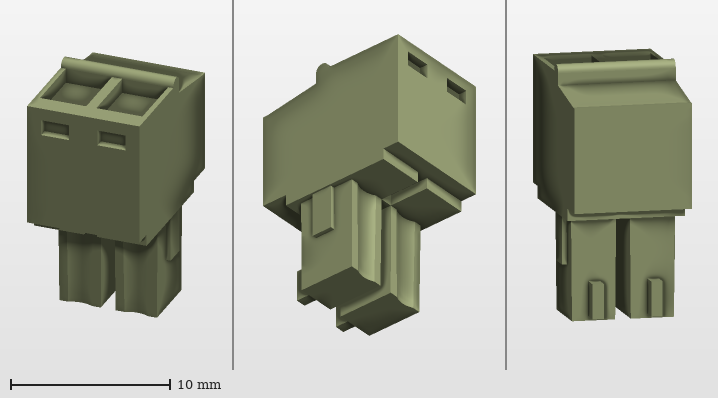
import cadquery as cq
import math

width = 7.62
depth = 11.1
height = 16.1
pole_pitch = width / 2
pole_centres = [-pole_pitch / 2, pole_pitch / 2]

bead_radius = 0.5
bead_front_y = 5.73
bead_back_y = bead_front_y + 2 * bead_radius
top_z = height - bead_radius
slope_top_z = 14.81
shelf_z = 14.15
shelf_depth = 0.37
block_bottom_z = 7.39
foot_bottom_z = 6.6
foot_front_y = 1.2
foot_back_inset = 1.87
foot_back_y = depth - foot_back_inset

pocket_width = 3.12
pocket_front_y = 1.35
pocket_depth = 1.0
window_width = 1.9
window_height = 1.05
window_bottom_z = 13.73
window_depth = 0.6

plug_width = 2.91
plug_front_y = 4.17
plug_back_y = 8.34
plug_draft = 0.5
flute_radius = 1.7
flute_depth = 0.25
key_width = 1.51
key_front_y = 5.64
key_height = 0.3
key_bottom_z = 3.43
latch_width = 0.72
latch_length = 1.25
latch_bottom_z = 0.3
latch_top_z = 2.55


def box(x_centre, x_size, y_start, y_end, z_start, z_end):
    """Block centred on x_centre and spanning the given Y and Z ranges."""
    block = cq.Workplane("XY").box(x_size, y_end - y_start, z_end - z_start, centered=(True, False, False))
    return block.translate((x_centre, y_start, z_start))


def make_housing():
    """Extruded side profile with a terminal pocket and a front window per pole."""
    housing = (
        cq.Workplane("YZ")
        .moveTo(0, block_bottom_z)
        .lineTo(0, top_z)
        .lineTo(bead_front_y, top_z)
        .threePointArc((bead_front_y + bead_radius, height), (bead_back_y, top_z))
        .lineTo(bead_back_y, slope_top_z)
        .lineTo(depth - shelf_depth, shelf_z)
        .lineTo(depth, shelf_z)
        .lineTo(depth, block_bottom_z)
        .lineTo(foot_back_y, block_bottom_z)
        .lineTo(foot_back_y, foot_bottom_z)
        .lineTo(foot_front_y, foot_bottom_z)
        .lineTo(foot_front_y, block_bottom_z)
        .close()
        .extrude(width / 2, both=True)
    )
    for x in pole_centres:
        pocket = box(x, pocket_width, pocket_front_y, bead_front_y, top_z - pocket_depth, top_z)
        window = box(x, window_width, 0, window_depth, window_bottom_z, window_bottom_z + window_height)
        housing = housing.cut(pocket).cut(window)

    plug_gap = pole_pitch - plug_width
    notch = box(0, plug_gap, foot_front_y, plug_front_y, foot_bottom_z, block_bottom_z)
    return housing.cut(notch)


def make_plug(x_centre):
    """Drafted, fluted plug under the foot, with a key on its outer side and a latch at the back."""
    taper = foot_bottom_z * math.tan(math.radians(plug_draft))
    top_depth = plug_back_y - plug_front_y
    top_centre_y = plug_back_y - top_depth / 2
    plug = (
        cq.Workplane("XY")
        .center(x_centre, top_centre_y + taper / 2)
        .rect(plug_width - 2 * taper, top_depth - taper)
        .workplane(offset=foot_bottom_z)
        .center(0, -taper / 2)
        .rect(plug_width, top_depth)
        .loft(ruled=True)
    )

    flute_centre_y = plug_front_y + flute_depth - flute_radius
    flute = (
        cq.Workplane("XY")
        .center(x_centre, flute_centre_y)
        .circle(flute_radius)
        .extrude(foot_bottom_z)
    )
    plug = plug.cut(flute)

    outward = math.copysign(1, x_centre)
    key_reach = plug_width / 2 + key_height
    key_centre_x = x_centre + outward * (key_reach / 2)
    key = box(key_centre_x, key_reach, key_front_y, key_front_y + key_width, key_bottom_z, foot_bottom_z)

    latch = box(x_centre, latch_width, plug_back_y, plug_back_y + latch_length, latch_bottom_z, latch_top_z)
    return plug.union(key).union(latch)


housing = make_housing()
plugs = [make_plug(x) for x in pole_centres]

result = cq.Compound.makeCompound([housing.val(), *[plug.val() for plug in plugs]])